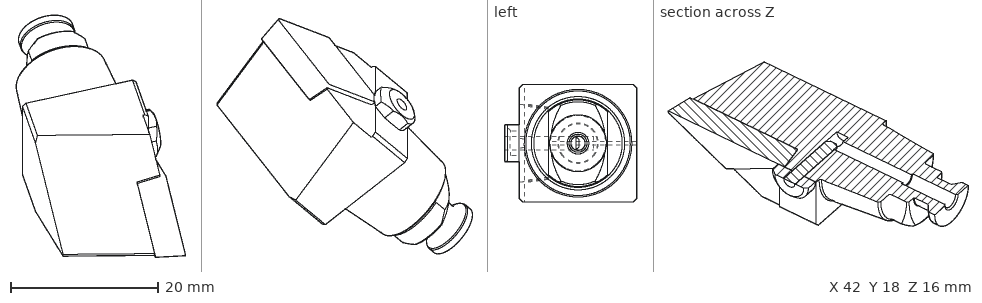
import cadquery as cq
import math

TOTAL_LENGTH = 42.0
TOTAL_DEPTH = 18.0
BLOCK_SIZE = 16.0
HALF_BLOCK = BLOCK_SIZE / 2
BLOCK_CHAMFER = 0.5
BEYOND = 25.2

FLANGE_RADIUS = 3.85
FLANGE_RIM_END = 1.18
FLANGE_EDGE_ROUND = 0.2
FLANGE_CONE_END = 1.95
FLANGE_CONE_RADIUS = 2.77
NECK_START = 2.2
NECK_RADIUS = 2.65
NECK_FILLET = 0.1
COLLAR_START = 4.4
COLLAR_RADIUS = 5.9
COLLAR_CHAMFER = 0.25
COLLAR_FLARE_START = 7.23
FLAT_HALF_WIDTH = 4.0
TAPER_START = 7.5
TAPER_FACE_RADIUS = 6.0
TAPER_CHAMFER = 0.25
TAPER_SMALL_RADIUS = 6.35
TAPER_END = 15.95
TAPER_LARGE_RADIUS = 7.1
BASE_FLARE_START = 16.7
BASE_FLARE_RADIUS = 7.3
BLOCK_START = 16.97

RELIEF_RADIUS = 10.05
RELIEF_OFFSET = 6.3

MOUTH_RADIUS = 1.2
MOUTH_END = 7.5
COOLANT_RADIUS = 0.95
COUNTERSINK_RADIUS = 1.45

HALF_ANGLE = math.radians(27.5)
CLEARANCE = math.radians(7)
LEAN = math.tan(CLEARANCE) / math.sin(HALF_ANGLE)
NOSE_EDGE_X = 41.85
NOSE_HALF_WIDTH = 0.2
INSERT_EDGE = 11.6
INSERT_THICKNESS = 4.0
INSERT_TOP_NOSE = 0.4
INSERT_BOTTOM_NOSE = 0.13
INSERT_TIP_GAP = 1 / math.sin(HALF_ANGLE) - 1
INSERT_CENTRE_X = (
    TOTAL_LENGTH + INSERT_TOP_NOSE * INSERT_TIP_GAP - INSERT_EDGE * math.cos(HALF_ANGLE)
)
RECESS_START = 23.2
RECESS_DEPTH = 0.75
RECESS_FILLET = 0.13
SEAT_RELIEF_RADIUS = 0.4

CLAMP_X = 20.05
CLAMP_HEIGHT = TOTAL_DEPTH - BLOCK_SIZE
CLAMP_RADIUS = 2.95
CLAMP_HALF_WIDTH = 2.5
CLAMP_FLANK_START = 1.35
CLAMP_FLANK_ANGLE = math.radians(25)
CLAMP_NOSE_BULGE = 0.25
CLAMP_TOP_RADIUS = 2.45
CLAMP_TOP_SLOPE = 0.75
SCREW_RADIUS = 0.92
SCREW_END_Y = -0.13
SCREW_END_CHAMFER = 0.4
SCREW_HOLE_END_Y = -2.1


def shank():
    """Round shank: pull flange, neck, collar and taper, turned about X."""
    profile = (
        cq.Workplane("XZ")
        .moveTo(0, 0)
        .lineTo(0, FLANGE_RADIUS)
        .lineTo(FLANGE_RIM_END - FLANGE_EDGE_ROUND, FLANGE_RADIUS)
        .lineTo(FLANGE_RIM_END, FLANGE_RADIUS - FLANGE_EDGE_ROUND / 2)
        .lineTo(FLANGE_CONE_END, FLANGE_CONE_RADIUS)
        .tangentArcPoint((NECK_START, NECK_RADIUS), relative=False)
        .lineTo(COLLAR_START - NECK_FILLET, NECK_RADIUS)
        .lineTo(COLLAR_START, NECK_RADIUS + NECK_FILLET)
        .lineTo(COLLAR_START, COLLAR_RADIUS - COLLAR_CHAMFER)
        .lineTo(COLLAR_START + COLLAR_CHAMFER, COLLAR_RADIUS)
        .lineTo(COLLAR_FLARE_START, COLLAR_RADIUS)
        .lineTo(TAPER_START, TAPER_FACE_RADIUS)
        .lineTo(TAPER_START + TAPER_CHAMFER, TAPER_SMALL_RADIUS)
        .lineTo(TAPER_END, TAPER_LARGE_RADIUS)
        .lineTo(BASE_FLARE_START, TAPER_LARGE_RADIUS)
        .lineTo(BLOCK_START, BASE_FLARE_RADIUS)
        .lineTo(BLOCK_START, 0)
        .close()
    )
    return profile.revolve(360, (0, 0, 0), (1, 0, 0))


def flat_cutter():
    """Tool for the flat on the +Y side of the collar, rounded into the taper face."""
    fillet = TAPER_START - COLLAR_FLARE_START
    bend = fillet * math.sqrt(0.5)
    return (
        cq.Workplane("XY")
        .moveTo(COLLAR_START, FLAT_HALF_WIDTH)
        .lineTo(COLLAR_FLARE_START, FLAT_HALF_WIDTH)
        .threePointArc(
            (COLLAR_FLARE_START + bend, FLAT_HALF_WIDTH + fillet - bend),
            (TAPER_START, FLAT_HALF_WIDTH + fillet),
        )
        .lineTo(TAPER_START, BLOCK_SIZE)
        .lineTo(COLLAR_START, BLOCK_SIZE)
        .close()
        .extrude(HALF_BLOCK, both=True)
    )


def relief_cutter():
    """Tool for the conical relief at the outer end of the +Y flat."""
    length = COLLAR_FLARE_START - COLLAR_START
    cone = cq.Solid.makeCone(
        RELIEF_RADIUS,
        RELIEF_RADIUS + length,
        length,
        cq.Vector(COLLAR_START, -RELIEF_OFFSET, 0),
        cq.Vector(1, 0, 0),
    )
    slab = cq.Workplane("XY").box(length, BLOCK_SIZE, BLOCK_SIZE, centered=(False, False, True))
    return slab.translate((COLLAR_START, 0, 0)).cut(cq.Workplane(cone))


def block():
    """Square block with chamfered long edges and a leaning wedge nose."""
    square = (
        cq.Workplane("YZ", origin=(BLOCK_START, 0, 0))
        .rect(BLOCK_SIZE, BLOCK_SIZE)
        .extrude(TOTAL_LENGTH - BLOCK_START + BLOCK_SIZE)
        .edges("|X")
        .chamfer(BLOCK_CHAMFER)
    )
    return square.intersect(wedge())


def wedge():
    """Pointed prism whose sides lean by the clearance angle."""

    def outline(y):
        nose_x = NOSE_EDGE_X - LEAN * (HALF_BLOCK - y)
        rise = BLOCK_SIZE
        shoulder_x = nose_x - (rise - NOSE_HALF_WIDTH) / math.tan(HALF_ANGLE)
        points = [
            (-BEYOND, -rise),
            (shoulder_x, -rise),
            (nose_x, -NOSE_HALF_WIDTH),
            (nose_x, NOSE_HALF_WIDTH),
            (shoulder_x, rise),
            (-BEYOND, rise),
        ]
        return cq.Wire.makePolygon([cq.Vector(x, y, z) for x, z in points], close=True)

    return cq.Workplane(cq.Solid.makeLoft([outline(-HALF_BLOCK), outline(HALF_BLOCK)], True))


def recess_cutter():
    """Tool that lowers the +Y face around the insert, with a filleted corner."""
    return (
        cq.Workplane("XY")
        .box(BEYOND, BLOCK_SIZE, BLOCK_SIZE, centered=(False, False, True))
        .edges("<X and <Y")
        .fillet(RECESS_FILLET)
        .translate((RECESS_START, HALF_BLOCK - RECESS_DEPTH, 0))
    )


def seat_relief_cutter():
    """Round tool that clears the +Z obtuse corner of the insert, leaning with that corner."""

    def circle(depth):
        corner_z = insert_half_diagonals(depth)[1]
        centre = cq.Vector(INSERT_CENTRE_X, HALF_BLOCK - depth, corner_z)
        return cq.Wire.makeCircle(SEAT_RELIEF_RADIUS, centre, cq.Vector(0, 1, 0))

    return cq.Workplane(cq.Solid.makeLoft([circle(INSERT_THICKNESS), circle(0)], True))


def coolant_bore():
    """Stepped bore along X with a countersunk mouth, reaching the clamp screw hole."""
    depth = COUNTERSINK_RADIUS - MOUTH_RADIUS
    return (
        cq.Workplane("XZ")
        .moveTo(0, 0)
        .lineTo(0, COUNTERSINK_RADIUS)
        .lineTo(depth, MOUTH_RADIUS)
        .lineTo(MOUTH_END, MOUTH_RADIUS)
        .lineTo(MOUTH_END, COOLANT_RADIUS)
        .lineTo(CLAMP_X, COOLANT_RADIUS)
        .lineTo(CLAMP_X, 0)
        .close()
        .revolve(360, (0, 0, 0), (1, 0, 0))
    )


def round_bar(radius, y_start, y_end):
    """Round bar along Y on the clamp screw axis."""
    return (
        cq.Workplane("XZ", origin=(CLAMP_X, y_end, 0)).circle(radius).extrude(y_end - y_start)
    )


def make_holder():
    """Shank and block in one piece, with the insert seat and the clamp screw hole."""
    body = shank().cut(coolant_bore())
    for tool in (flat_cutter(), relief_cutter()):
        body = body.cut(tool).cut(tool.mirror("XZ"))
    head = block().cut(recess_cutter()).cut(make_insert()).cut(coolant_bore())
    head = head.cut(seat_relief_cutter()).cut(seat_relief_cutter().mirror("XY"))
    head = head.cut(round_bar(SCREW_RADIUS, SCREW_HOLE_END_Y, HALF_BLOCK))
    return body.union(head)


def insert_half_diagonals(depth):
    """Half length in X and half width in Z of the sharp rhombus at a depth below its +Y face."""
    half_length = INSERT_EDGE * math.cos(HALF_ANGLE) - LEAN * depth
    return half_length, half_length * math.tan(HALF_ANGLE)


def make_insert():
    """Rhombic cutting insert, narrowing toward its seat by the clearance angle."""

    def outline(depth, nose_radius):
        half_length, half_width = insert_half_diagonals(depth)
        corners = [(half_length, 0), (0, half_width), (-half_length, 0), (0, -half_width)]
        y = HALF_BLOCK - depth
        wire = cq.Wire.makePolygon(
            [cq.Vector(INSERT_CENTRE_X + x, y, z) for x, z in corners], close=True
        )
        return wire.fillet2D(nose_radius, wire.Vertices())

    top = outline(0, INSERT_TOP_NOSE)
    seat = outline(INSERT_THICKNESS, INSERT_BOTTOM_NOSE)
    return cq.Workplane(cq.Solid.makeLoft([seat, top], True))


def make_clamp():
    """Finger clamp: round heel, parallel flats, tapered rounded nose, conical top edge."""
    heel_x = -math.sqrt(CLAMP_RADIUS**2 - CLAMP_HALF_WIDTH**2)
    nose_x = RECESS_START - CLAMP_X
    nose_z = CLAMP_HALF_WIDTH - (nose_x - CLAMP_FLANK_START) * math.tan(CLAMP_FLANK_ANGLE)
    plate = (
        cq.Workplane("XZ", origin=(CLAMP_X, HALF_BLOCK, 0))
        .moveTo(heel_x, CLAMP_HALF_WIDTH)
        .lineTo(CLAMP_FLANK_START, CLAMP_HALF_WIDTH)
        .lineTo(nose_x, nose_z)
        .threePointArc((nose_x + CLAMP_NOSE_BULGE, 0), (nose_x, -nose_z))
        .lineTo(CLAMP_FLANK_START, -CLAMP_HALF_WIDTH)
        .lineTo(heel_x, -CLAMP_HALF_WIDTH)
        .threePointArc((-CLAMP_RADIUS, 0), (heel_x, CLAMP_HALF_WIDTH))
        .close()
        .extrude(-CLAMP_HEIGHT)
    )
    top_cone = cq.Solid.makeCone(
        CLAMP_TOP_RADIUS + CLAMP_HEIGHT / CLAMP_TOP_SLOPE,
        CLAMP_TOP_RADIUS,
        CLAMP_HEIGHT,
        cq.Vector(CLAMP_X, HALF_BLOCK, 0),
        cq.Vector(0, 1, 0),
    )
    hole = round_bar(SCREW_RADIUS, HALF_BLOCK, HALF_BLOCK + CLAMP_HEIGHT)
    return plate.intersect(cq.Workplane(top_cone)).cut(hole)


def make_screw():
    """Clamp screw, flush with the top of the clamp and chamfered at its inner end."""
    bar = round_bar(SCREW_RADIUS, SCREW_END_Y, HALF_BLOCK + CLAMP_HEIGHT)
    return bar.faces("<Y").chamfer(SCREW_END_CHAMFER)


holder = make_holder()
insert = make_insert()
clamp = make_clamp()
screw = make_screw()

result = cq.Compound.makeCompound([body.solids().val() for body in (holder, insert, clamp, screw)])